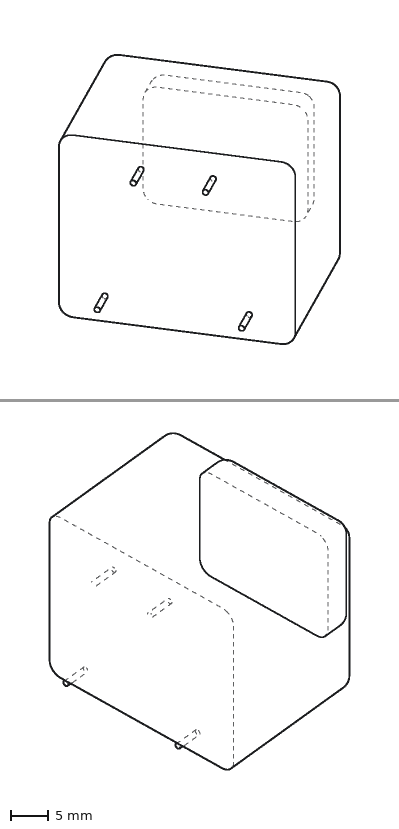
import cadquery as cq

case_width = 32.8
case_depth = 24.8
case_height = 27.8
pad_width = 22.8
pad_depth = 5.0
pad_height = 17.8
edge_radius = 2.0

pin_diameter = 0.8
pin_length = 4.0
pin_pitch = 10.0
upper_pin_spacing = pin_pitch
lower_pin_spacing = 2 * pin_pitch
pin_row_spacing = 2 * pin_pitch


def rounded_block(width, depth, height, front_y):
    """Block running toward +Y, rounded along its Y edges and around its rear face."""
    block = cq.Workplane("XY").box(width, depth, height, centered=(True, False, True))
    block = block.edges("|Y or >Y").fillet(edge_radius)
    return block.translate((0, front_y, 0))


def pin_row(spacing, z):
    """Pair of round pins projecting toward -Y from the case front at Y = 0."""
    return (
        cq.Workplane("XZ")
        .pushPoints([(-spacing / 2, z), (spacing / 2, z)])
        .circle(pin_diameter / 2)
        .extrude(pin_length)
    )


case = rounded_block(case_width, case_depth, case_height, 0)
pad = rounded_block(pad_width, pad_depth, pad_height, case_depth)
upper_pins = pin_row(upper_pin_spacing, pin_row_spacing / 2)
lower_pins = pin_row(lower_pin_spacing, -pin_row_spacing / 2)

result = case.union(pad).union(upper_pins).union(lower_pins)